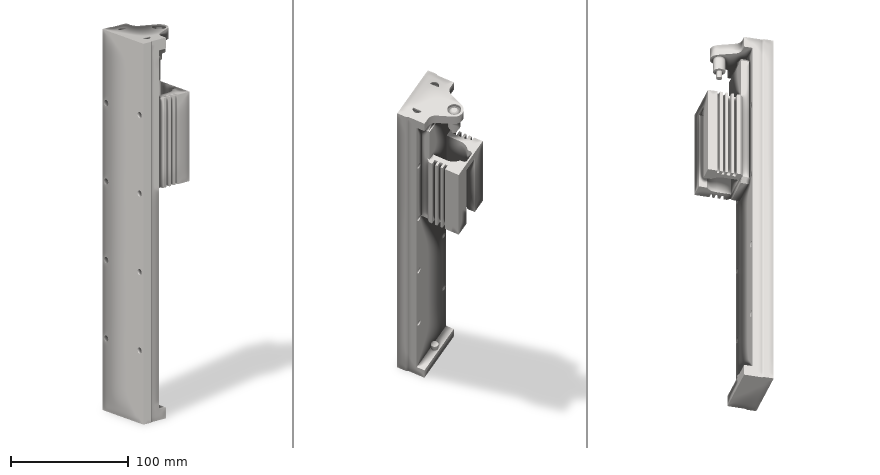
import cadquery as cq
import math

length = 340.0
foot_width = 54.0
rail_width = 52.0
foot_height = 8.5
chamfer_top = 10.2
rail_height = 18.5
plate_height = 26.0
plate_thickness = 10.0

hole_dia = 5.5
hole_spacing_x = 44.0
hole_pitch_z = 70.0
hole_rows = 4

pocket_radius = 4.0
pocket_flat_x = 15.0
pocket_y = 13.0
pocket_depth = 3.5

bumper_dia = 6.5
bumper_length = 5.0
bumper_y = 21.5

absorber_y = 40.5
nose_radius = 8.0
nose_flank_angle = math.radians(24)
nose_root_radius = 7.5
absorber_dia = 10.5
absorber_length = 12.2
plunger_dia = 5.0
plunger_length = 6.5
recess_dia = 12.0
recess_depth = 2.7
head_base_dia = 9.5
head_tip_dia = 5.0
head_height = 2.0

carriage_width = 36.5
carriage_bottom = 19.5
carriage_top = 26.5
end_cap_length = 4.0
end_cap_top = 25.5
end_cap_taper = end_cap_length
slider_top_z = length - plate_thickness - bumper_length
carriage_top_z = slider_top_z - end_cap_length
block_length = 80.0
block_bottom_z = 204.5
block_width = 42.5
block_chamfer = 3.0
block_bottom = 24.5
block_top = 56.5

fin_grooves = [(30.5, 33.5), (35.7, 38.8), (40.8, 43.2)]
fin_groove_depth = 4.8
shallow_groove = (46.0, 48.0)
shallow_groove_depth = 3.5

bore_radius = 12.0
bore_y = 39.8
slot_half_width = 7.0
bridge_length = 8.0
bridge_thickness = 1.5
bridge_leg_width = 0.7
bridge_corner_radius = 2.7


def box(x_range, y_range, z_range):
    """Box spanning the three given ranges."""
    size = [high - low for low, high in (x_range, y_range, z_range)]
    corner = (x_range[0], y_range[0], z_range[0])
    return cq.Workplane("XY").box(*size, centered=False).translate(corner)


def z_cylinder(diameter, y, bottom, height):
    """Upright cylinder on the centre plane."""
    return cq.Workplane("XY", origin=(0, y, bottom)).circle(diameter / 2).extrude(height)


def make_rail():
    half_foot = foot_width / 2
    half_rail = rail_width / 2
    outline = [
        (-half_foot, 0), (half_foot, 0), (half_foot, foot_height), (half_rail, chamfer_top),
        (half_rail, rail_height), (-half_rail, rail_height),
        (-half_rail, chamfer_top), (-half_foot, foot_height),
    ]
    return cq.Workplane("XY").polyline(outline).close().extrude(length)


def make_end_plate(bottom):
    half_rail = rail_width / 2
    return box((-half_rail, half_rail), (chamfer_top, plate_height), (bottom, bottom + plate_thickness))


def make_nose_plate(bottom):
    """End plate with a round nose whose straight flanks run into it through fillets."""
    half_rail = rail_width / 2
    tangent_x = nose_radius * math.cos(nose_flank_angle)
    tangent_y = absorber_y + nose_radius * math.sin(nose_flank_angle)
    root_x = tangent_x + (tangent_y - plate_height) * math.tan(nose_flank_angle)
    plate = (
        cq.Workplane("XY", origin=(0, 0, bottom))
        .moveTo(-half_rail, chamfer_top)
        .lineTo(half_rail, chamfer_top)
        .lineTo(half_rail, plate_height)
        .lineTo(root_x, plate_height)
        .lineTo(tangent_x, tangent_y)
        .threePointArc((0, absorber_y + nose_radius), (-tangent_x, tangent_y))
        .lineTo(-root_x, plate_height)
        .lineTo(-half_rail, plate_height)
        .close()
        .extrude(plate_thickness)
    )
    for side in (-1, 1):
        root = (side * root_x, plate_height, bottom + plate_thickness / 2)
        plate = plate.edges(cq.NearestToPointSelector(root)).fillet(nose_root_radius)
    return plate


def make_absorber_body(plate_bottom):
    body_bottom = plate_bottom - absorber_length
    body = z_cylinder(absorber_dia, absorber_y, body_bottom, absorber_length)
    return body.union(z_cylinder(plunger_dia, absorber_y, body_bottom - plunger_length, plunger_length))


def make_absorber_recess():
    """Round recess in the top end, leaving the conical absorber head standing in it."""
    floor = length - recess_depth
    head = cq.Workplane("XY", origin=(0, absorber_y, floor)).circle(head_base_dia / 2)
    head = head.workplane(offset=head_height).circle(head_tip_dia / 2).loft()
    return z_cylinder(recess_dia, absorber_y, floor, recess_depth).cut(head)


def make_mounting_holes():
    points = [
        (side * hole_spacing_x / 2, length / 2 + (row - (hole_rows - 1) / 2) * hole_pitch_z)
        for side in (-1, 1)
        for row in range(hole_rows)
    ]
    return cq.Workplane("XZ").pushPoints(points).circle(hole_dia / 2).extrude(-rail_height)


def make_pocket(side):
    """Half-round pocket in the top end, flat towards the centre plane."""
    flat_x = side * pocket_flat_x
    return (
        cq.Workplane("XY", origin=(0, 0, length - pocket_depth))
        .moveTo(flat_x, pocket_y - pocket_radius)
        .threePointArc((flat_x + side * pocket_radius, pocket_y), (flat_x, pocket_y + pocket_radius))
        .close()
        .extrude(pocket_depth)
    )


def make_base():
    nose_bottom = length - plate_thickness
    base = make_rail().union(make_end_plate(0)).union(make_nose_plate(nose_bottom))
    for bumper_bottom in (plate_thickness, nose_bottom - bumper_length):
        base = base.union(z_cylinder(bumper_dia, bumper_y, bumper_bottom, bumper_length))
    base = base.union(make_absorber_body(nose_bottom))
    base = base.cut(make_absorber_recess()).cut(make_mounting_holes())
    for side in (-1, 1):
        base = base.cut(make_pocket(side))
    return base


def make_carriage():
    """Plate spanning from the block's lower end to the upper end cap."""
    half = carriage_width / 2
    return box((-half, half), (carriage_bottom, carriage_top), (block_bottom_z, carriage_top_z))


def make_end_cap(inner_z, direction):
    """Cap on one end of the carriage, narrowing away from it."""
    half = carriage_width / 2
    tip_half = half - end_cap_taper
    tip_z = inner_z + direction * end_cap_length
    outline = [(-half, inner_z), (half, inner_z), (tip_half, tip_z), (-tip_half, tip_z)]
    return (
        cq.Workplane("XZ", origin=(0, rail_height, 0))
        .polyline(outline)
        .close()
        .extrude(rail_height - end_cap_top)
    )


def make_block():
    half = block_width / 2
    z_range = (block_bottom_z, block_bottom_z + block_length)
    block = box((-half, half), (block_bottom, block_top), z_range)
    block = block.edges("|Z and <Y").chamfer(block_chamfer)
    for groove in fin_grooves:
        block = block.cut(box((-half, fin_groove_depth - half), groove, z_range))
        block = block.cut(box((half - fin_groove_depth, half), groove, z_range))
    return block.cut(box((-half, shallow_groove_depth - half), shallow_groove, z_range))


def make_nose_passage(half_width, top, bottom_z, depth):
    """Opening along the block: straight sides, a round part around the nose and a slot above."""
    shoulder_y = bore_y + math.sqrt(bore_radius**2 - half_width**2)
    mid_angle = math.acos(half_width / bore_radius) / 2
    mid_x = bore_radius * math.cos(mid_angle)
    mid_y = bore_y + bore_radius * math.sin(mid_angle)
    return (
        cq.Workplane("XY", origin=(0, 0, bottom_z))
        .moveTo(-bore_radius, carriage_top)
        .lineTo(bore_radius, carriage_top)
        .lineTo(bore_radius, bore_y)
        .threePointArc((mid_x, mid_y), (half_width, shoulder_y))
        .lineTo(half_width, top)
        .lineTo(-half_width, top)
        .lineTo(-half_width, shoulder_y)
        .threePointArc((-mid_x, mid_y), (-bore_radius, bore_y))
        .close()
        .extrude(depth)
    )


def make_slider():
    slider = make_carriage().union(make_block())
    slider = slider.union(make_end_cap(carriage_top_z, 1)).union(make_end_cap(block_bottom_z, -1))
    open_length = block_length - bridge_length
    open_passage = make_nose_passage(slot_half_width, block_top, block_bottom_z, open_length)
    bridged_passage = make_nose_passage(
        slot_half_width - bridge_leg_width,
        block_top - bridge_thickness,
        block_bottom_z + open_length,
        bridge_length,
    )
    bridged_passage = bridged_passage.edges("|Z and >Y").fillet(bridge_corner_radius)
    return slider.cut(open_passage).cut(bridged_passage)


base = make_base()
slider = make_slider()
result = cq.Compound.makeCompound([base.val(), slider.val()])